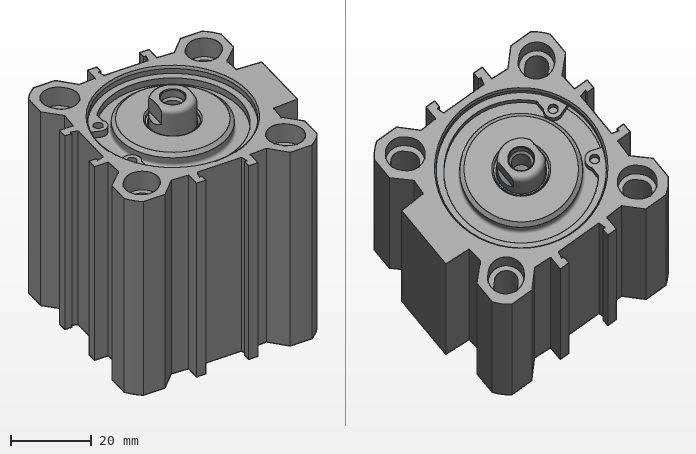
import cadquery as cq
import math


total_height = 65.5
rod_protrusion = 6.0
housing_top = total_height - rod_protrusion

lug_reach = 27.5
lug_corner_start = 24.05
lug_corner_radius = 36.7
lug_inner_end = 17.8
lug_root = (13.55, 23.1)
wall_reach = 23.4
rail_reach = 27.3
rail_outer_u = 8.8
rail_lip_u = 6.1
rail_neck_u = 6.8
rail_foot_u = 6.3
rail_lip_thickness = 2.0
port_reach = 30.45
port_foot = (9.35, 23.45)
port_half_width = 9.0

mount_offset = 20.5
mount_hole_d = 5.9
mount_hole_stretch = 1.3
mount_counterbore_d = 9.0
mount_counterbore_stretch = 0.9
mount_counterbore_depth = 5.7

mouth_d = 43.0
mouth_depth = 0.7
ring_entry_d = 42.2
seat_d = 41.7
groove_d = 44.7
bore_d = 40.0
floor_thickness = 7.85

ring_thickness = 1.9
ring_inner_d = 38.4
ring_lug_center = (8.45, -16.45)
ring_lug_radius = 2.4
ring_hole_d = 2.5
ring_flat_y = -14.5

boss_recess = 0.65
boss_d = 30.5
boss_top_d = 28.35
boss_chamfer_height = 0.9
boss_height = 3.5
boss_foot_fillet = 0.8
flange_thickness = 7.85
rod_mouth_d = 14.6
rod_counterbore_d = 13.7
rod_counterbore_depth = 1.0
rod_relief_d = 12.5
rod_relief_depth = 1.95

rod_d = 12.0
rod_top_fillet = 1.3
flat_width = 10.0
flat_length = 4.6
socket_mouth_d = 6.7
socket_d = 6.2
socket_depth = 2.35
socket_chamfer_height = 0.5
thread_hole_d = 4.9
thread_hole_depth = 9.8
drill_point_angle = 118.0

boss_top = housing_top - boss_recess
flange_top = boss_top - boss_height
ring_top = flange_top + ring_thickness
flange_bottom = flange_top - flange_thickness


def disc(diameter, bottom, top):
    """Solid cylinder on the Z axis between two levels."""
    return cq.Workplane("XY", origin=(0, 0, bottom)).circle(diameter / 2).extrude(top - bottom)


def cone(bottom_d, top_d, bottom, top):
    """Solid truncated cone on the Z axis between two levels."""
    base = cq.Vector(0, 0, bottom)
    return cq.Workplane(cq.Solid.makeCone(bottom_d / 2, top_d / 2, top - bottom, pnt=base))


lug_half = [(lug_corner_start, lug_reach), (lug_inner_end, lug_reach), lug_root]
rail_half = lug_half + [
    (rail_outer_u, wall_reach),
    (rail_outer_u, rail_reach),
    (rail_lip_u, rail_reach),
    (rail_lip_u, rail_reach - rail_lip_thickness),
    (rail_neck_u, rail_reach - rail_lip_thickness),
    (rail_foot_u, wall_reach),
]
port_half = lug_half + [port_foot, (port_half_width, port_reach)]


def side_points(half, angle):
    """Whole side, mirrored from its half and turned counter-clockwise from the +Y side."""
    side = half + [(-u, v) for u, v in reversed(half)]
    c = math.cos(math.radians(angle))
    s = math.sin(math.radians(angle))
    return [(u * c - v * s, u * s + v * c) for u, v in side]


def housing_profile():
    """Closed outline, counter-clockwise, with a rounded corner after each side."""
    sides = [(port_half, 0), (rail_half, 90), (rail_half, 180), (rail_half, 270)]
    start = side_points(*sides[0])[0]
    outline = cq.Workplane("XY").moveTo(*start)
    for index, (half, angle) in enumerate(sides):
        for point in side_points(half, angle)[1:]:
            outline = outline.lineTo(*point)
        diagonal = math.radians(angle + 135)
        middle = (lug_corner_radius * math.cos(diagonal), lug_corner_radius * math.sin(diagonal))
        next_side = sides[(index + 1) % len(sides)]
        outline = outline.threePointArc(middle, side_points(*next_side)[0])
    return outline.close()


def mount_slot(diameter, stretch, bottom, x_sign, y_sign):
    """Slot cutter from a level up to the housing top, in one corner lug."""
    center = (x_sign * mount_offset, y_sign * mount_offset)
    return (
        cq.Workplane("XY", origin=(0, 0, bottom))
        .center(*center)
        .slot2D(diameter + stretch, diameter, 45 * x_sign * y_sign)
        .extrude(housing_top - bottom)
    )


def make_housing():
    body = housing_profile().extrude(housing_top)
    counterbore_floor = housing_top - mount_counterbore_depth
    for x_sign in (-1, 1):
        for y_sign in (-1, 1):
            body = body.cut(mount_slot(mount_hole_d, mount_hole_stretch, 0, x_sign, y_sign))
            body = body.cut(
                mount_slot(
                    mount_counterbore_d, mount_counterbore_stretch, counterbore_floor, x_sign, y_sign
                )
            )
    body = body.cut(disc(bore_d, floor_thickness, housing_top))
    body = body.cut(disc(seat_d, flange_bottom, housing_top))
    body = body.cut(disc(ring_entry_d, flange_top, housing_top))
    body = body.cut(disc(groove_d, flange_top, ring_top))
    return body.cut(cone(ring_entry_d, mouth_d, housing_top - mouth_depth, housing_top))


def make_cover():
    body = disc(seat_d, flange_bottom, flange_top)
    chamfer_start = boss_top - boss_chamfer_height
    body = body.union(disc(boss_d, flange_top, chamfer_start))
    foot = body.faces("<Z[-2]").edges(cq.selectors.RadiusNthSelector(0))
    body = foot.fillet(boss_foot_fillet)
    body = body.union(cone(boss_d, boss_top_d, chamfer_start, boss_top))
    mouth_height = (rod_mouth_d - rod_counterbore_d) / 2
    body = body.cut(disc(rod_d, flange_bottom, boss_top))
    body = body.cut(disc(rod_relief_d, boss_top - rod_relief_depth, boss_top))
    body = body.cut(disc(rod_counterbore_d, boss_top - rod_counterbore_depth, boss_top))
    return body.cut(cone(rod_counterbore_d, rod_mouth_d, boss_top - mouth_height, boss_top))


def make_snap_ring():
    outer_r = groove_d / 2
    inner_r = ring_inner_d / 2
    lug_x, lug_y = ring_lug_center
    lug_distance = math.hypot(lug_x, lug_y)

    end_angle = math.atan2(lug_y, lug_x) - math.asin(ring_lug_radius / lug_distance)
    tangent_r = math.sqrt(lug_distance**2 - ring_lug_radius**2)
    end_outer = (outer_r * math.cos(end_angle), outer_r * math.sin(end_angle))
    lug_end = (tangent_r * math.cos(end_angle), tangent_r * math.sin(end_angle))
    inward = 1 - ring_lug_radius / lug_distance
    lug_middle = (lug_x * inward, lug_y * inward)
    lug_flat = (lug_x + math.sqrt(ring_lug_radius**2 - (ring_flat_y - lug_y) ** 2), ring_flat_y)
    inner_flat = (math.sqrt(inner_r**2 - ring_flat_y**2), ring_flat_y)

    def mirrored(point):
        return (-point[0], point[1])

    body = (
        cq.Workplane("XY", origin=(0, 0, flange_top))
        .moveTo(*end_outer)
        .threePointArc((0, outer_r), mirrored(end_outer))
        .lineTo(*mirrored(lug_end))
        .threePointArc(mirrored(lug_middle), mirrored(lug_flat))
        .lineTo(*mirrored(inner_flat))
        .threePointArc((0, inner_r), inner_flat)
        .lineTo(*lug_flat)
        .threePointArc(lug_middle, lug_end)
        .close()
        .extrude(ring_thickness)
    )
    holes = (
        cq.Workplane("XY", origin=(0, 0, flange_top))
        .pushPoints([ring_lug_center, mirrored(ring_lug_center)])
        .circle(ring_hole_d / 2)
        .extrude(ring_thickness)
    )
    return body.cut(holes)


def flat_cutter():
    """Material beside the -Y wrench flat; its floor slopes down outward at 45 degrees."""
    flat_y = -flat_width / 2
    floor = total_height - flat_length
    return (
        cq.Workplane("YZ", origin=(-rod_d, 0, 0))
        .moveTo(flat_y, total_height)
        .lineTo(flat_y, floor)
        .lineTo(flat_y - rod_d, floor - rod_d)
        .lineTo(flat_y - rod_d, total_height)
        .close()
        .extrude(2 * rod_d)
    )


def make_rod():
    body = disc(rod_d, floor_thickness, total_height).faces(">Z").edges().fillet(rod_top_fillet)
    body = body.cut(flat_cutter()).cut(flat_cutter().mirror("XZ"))
    socket_floor = total_height - socket_depth
    hole_floor = total_height - thread_hole_depth
    point_height = thread_hole_d / 2 / math.tan(math.radians(drill_point_angle / 2))
    body = body.cut(disc(socket_d, socket_floor, total_height))
    mouth_height = (socket_mouth_d - socket_d) / 2
    body = body.cut(cone(socket_d, socket_mouth_d, total_height - mouth_height, total_height))
    body = body.cut(cone(thread_hole_d, socket_d, socket_floor - socket_chamfer_height, socket_floor))
    body = body.cut(disc(thread_hole_d, hole_floor, socket_floor))
    return body.cut(cone(0, thread_hole_d, hole_floor - point_height, hole_floor))


housing = make_housing()
cover = make_cover()
snap_ring = make_snap_ring()
rod = make_rod()

result = cq.Compound.makeCompound([housing.val(), cover.val(), snap_ring.val(), rod.val()])